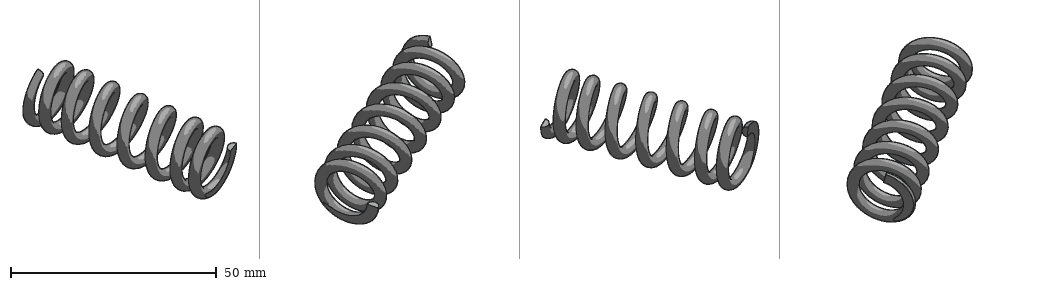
import cadquery as cq
import math

length = 50.0
outer_diameter = 18.0
wire_diameter = 3.0
coil_radius = (outer_diameter - wire_diameter) / 2

end_pitch = 3.5
end_turns = 2.61
middle_turns = 2.5
total_turns = 2 * end_turns + middle_turns
middle_pitch = (length - end_turns * end_pitch) / (end_turns + middle_turns)

start_angle = -169.0
points_per_turn = 16


def end_advance(turns):
    """Axial travel after the given turns, counted inwards from a spring end."""
    pitch_growth = (middle_pitch - end_pitch) / end_turns
    return end_pitch * turns + pitch_growth * turns**2 / 2


def axial_position(turns):
    """X of the wire centre after the given turns from the -X end."""
    if turns < end_turns:
        return end_advance(turns)
    if turns > total_turns - end_turns:
        return length - end_advance(total_turns - turns)
    return end_advance(end_turns) + middle_pitch * (turns - end_turns)


def wire_centre(turns):
    """Point on the coil's centreline after the given turns from the -X end."""
    angle = math.radians(start_angle) + 2 * math.pi * turns
    return cq.Vector(
        axial_position(turns),
        coil_radius * math.sin(angle),
        -coil_radius * math.cos(angle),
    )


def make_coil():
    """Round wire swept along the coil, with its end faces in planes through the X axis."""
    steps = math.ceil(total_turns * points_per_turn)
    centres = [wire_centre(total_turns * i / steps) for i in range(steps + 1)]
    path = cq.Workplane(cq.Edge.makeSpline(centres))
    start = centres[0]
    around_axis = cq.Vector(1, 0, 0).cross(cq.Vector(0, start.y, start.z))
    section_plane = cq.Plane(origin=start, xDir=(1, 0, 0), normal=around_axis)
    section = cq.Workplane(section_plane).circle(wire_diameter / 2)
    return section.sweep(path, isFrenet=True)


def make_grinding_envelope():
    """Block between the two ground end planes, wider than the coil."""
    width = 2 * outer_diameter
    return cq.Workplane("XY").box(length, width, width).translate((length / 2, 0, 0))


result = make_coil().intersect(make_grinding_envelope())